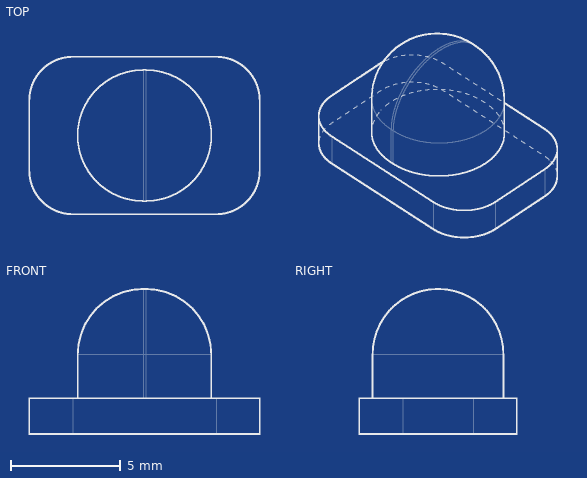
import cadquery as cq

base_length = 10.55
base_width = 7.22
base_height = 1.65
corner_radius = 2.0

dome_radius = 3.0
wall_height = 2.0
strip_width = 0.13
wall_top = base_height + wall_height
dome_top = wall_top + dome_radius


def make_base():
    """Rectangular plate with rounded vertical corners, resting on Z = 0."""
    plate = cq.Workplane("XY").rect(base_length, base_width).extrude(base_height)
    return plate.edges("|Z").fillet(corner_radius)


def make_half_dome(side):
    """Half of a domed cylinder, facing +X (side = 1) or -X (side = -1)."""
    profile = (
        cq.Workplane("XZ")
        .lineTo(dome_radius, 0)
        .lineTo(dome_radius, wall_top)
        .radiusArc((0, dome_top), -dome_radius)
        .close()
    )
    half = profile.revolve(180, (0, 0, 0), (0, 1, 0))
    half = half.rotate((0, 0, 0), (0, 0, 1), -90 * side)
    return half.translate((side * strip_width / 2, 0, 0))


def make_strip():
    """Arched strip that fills the gap between the half-domes."""
    return (
        cq.Workplane("YZ")
        .moveTo(-dome_radius, 0)
        .lineTo(dome_radius, 0)
        .lineTo(dome_radius, wall_top)
        .threePointArc((0, dome_top), (-dome_radius, wall_top))
        .close()
        .extrude(strip_width / 2, both=True)
    )


result = make_base().union(make_strip())
for side in (-1, 1):
    result = result.union(make_half_dome(side))